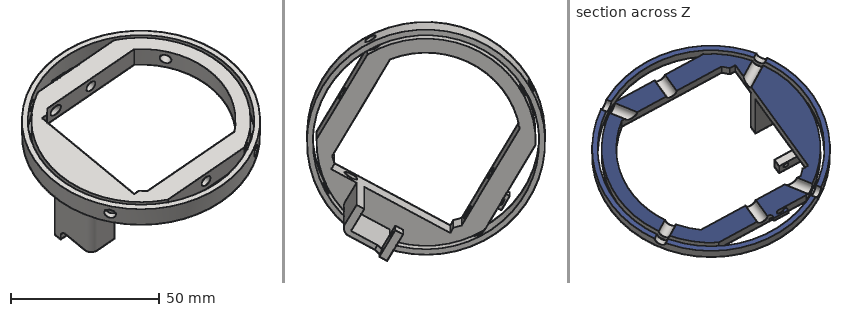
import cadquery as cq
import math

ring_diameter = 80.4
ring_bore = 76.4
ring_height = 8.0

frame_radius = 37.0
frame_half_width = 32.65
window_radius = 31.9
window_half_width = 25.1
window_bottom = -24.1
corner_step = 2.0
corner_step_top = -19.9

hole_diameter = 4.0
hole_height = 4.2
radial_hole_angle = 32.6
radial_hole_count = 4

bracket_left = -4.75
bracket_right = 13.3
bracket_front = -35.05
bracket_wall = 1.9
bracket_web_drop = 23.0
bracket_foot_drop = 27.7
foot_width = 3.0
flange_width = foot_width
gusset_width = 1.85
gusset_height = 2.2
gusset_radius = 4.8
foot_hole_diameter = 2.0
foot_hole_y = -26.85
foot_hole_z = -24.85

hook_outer_x = -34.5
hook_inner_x = -33.6
hook_toe_x = -33.05
hook_top_y = -3.45
hook_bottom_y = -9.3
hook_toe_length = 1.2
hook_height = 3.7
neck_width = 2.0
neck_flare = 0.9


def cylinder_between(start, direction, length, diameter):
    """Solid cylinder from a start point along a direction."""
    return cq.Workplane(cq.Solid.makeCylinder(diameter / 2, length, cq.Vector(*start), cq.Vector(*direction)))


def box_between(low, high):
    """Box given by its lowest and highest corners."""
    size = [b - a for a, b in zip(low, high)]
    return cq.Workplane().box(*size, centered=False).translate(low)


def drill_radial_holes(body):
    """Four holes pointing at the axis, at equal angles."""
    for index in range(radial_hole_count):
        angle = math.radians(radial_hole_angle + index * 360 / radial_hole_count)
        direction = (math.cos(angle), math.sin(angle), 0)
        body = body.cut(cylinder_between((0, 0, hole_height), direction, ring_diameter, hole_diameter))
    return body


def make_ring():
    ring = cq.Workplane().circle(ring_diameter / 2).circle(ring_bore / 2).extrude(ring_height)
    return drill_radial_holes(ring)


def make_window():
    """Window cutter: arched top, straight sides and stepped lower corners."""
    arch_end_y = math.sqrt(window_radius**2 - window_half_width**2)
    sill_half_width = window_half_width - corner_step
    step_bottom = corner_step_top - corner_step
    return (
        cq.Workplane()
        .moveTo(window_half_width, arch_end_y)
        .threePointArc((0, window_radius), (-window_half_width, arch_end_y))
        .lineTo(-window_half_width, corner_step_top)
        .lineTo(-sill_half_width, step_bottom)
        .lineTo(-sill_half_width, window_bottom)
        .lineTo(sill_half_width, window_bottom)
        .lineTo(sill_half_width, step_bottom)
        .lineTo(window_half_width, corner_step_top)
        .close()
        .extrude(ring_height)
    )


def make_frame_plate():
    disc = cq.Workplane().circle(frame_radius).extrude(ring_height)
    flats = box_between(
        (-frame_half_width, -frame_radius, 0), (frame_half_width, frame_radius, ring_height)
    )
    plate = drill_radial_holes(disc.intersect(flats).cut(make_window()))
    cross_hole = cylinder_between((-frame_radius, 0, hole_height), (1, 0, 0), 2 * frame_radius, hole_diameter)
    return plate.cut(cross_hole)


def make_bracket():
    """Web with a rounded flange on the right and a drilled foot at the lower left."""
    wall_back = bracket_front + bracket_wall
    foot_right = bracket_left + foot_width
    corner = (
        box_between((bracket_left, bracket_front, -bracket_web_drop), (bracket_right, window_bottom, 0))
        .edges("|Z and >X and <Y")
        .fillet(flange_width)
    )
    hollow = box_between(
        (bracket_left, wall_back, -bracket_web_drop), (bracket_right - flange_width, window_bottom, 0)
    )
    foot = box_between(
        (bracket_left, bracket_front, -bracket_foot_drop), (foot_right, window_bottom, -bracket_web_drop)
    )
    gusset = (
        cq.Workplane("XZ", origin=(foot_right, wall_back, -bracket_web_drop))
        .lineTo(gusset_width, 0)
        .radiusArc((0, -gusset_height), -gusset_radius)
        .close()
        .extrude(bracket_wall)
    )
    foot_hole = cylinder_between(
        (bracket_left, foot_hole_y, foot_hole_z), (1, 0, 0), foot_width, foot_hole_diameter
    )
    return corner.cut(hollow).union(foot).union(gusset).cut(foot_hole)


def make_hook():
    """L-shaped hook on a short neck that flares out where it meets the frame."""
    hook_base = hole_height - hook_height / 2
    toe_top_y = hook_bottom_y + hook_toe_length
    toe_projection = hook_toe_x - hook_inner_x
    hook = (
        cq.Workplane(origin=(0, 0, hook_base))
        .moveTo(hook_outer_x, hook_top_y)
        .lineTo(hook_outer_x, hook_bottom_y)
        .lineTo(hook_toe_x, hook_bottom_y)
        .lineTo(hook_toe_x, toe_top_y)
        .lineTo(hook_inner_x, toe_top_y + toe_projection)
        .lineTo(hook_inner_x, hook_top_y)
        .close()
        .extrude(hook_height)
    )
    neck = box_between(
        (hook_inner_x, hook_top_y - neck_width, hook_base),
        (-frame_half_width, hook_top_y, hook_base + hook_height),
    )
    return hook.union(neck)


def make_frame():
    frame = make_frame_plate().union(make_bracket()).union(make_hook())
    neck_root = cq.selectors.BoxSelector(
        (-frame_half_width - neck_flare / 2, hook_top_y - neck_width - neck_flare, 0),
        (-frame_half_width + neck_flare / 2, hook_top_y + neck_flare, ring_height),
    )
    return frame.edges(neck_root).fillet(neck_flare)


ring = make_ring()
frame = make_frame()
result = cq.Compound.makeCompound([ring.val(), frame.val()])